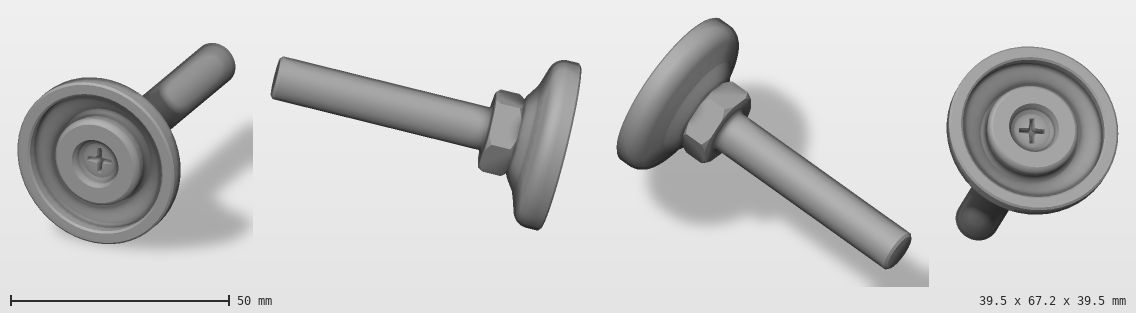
import cadquery as cq
import math


total_length = 67.2
foot_diameter = 39.45
foot_radius = foot_diameter / 2

rod_radius = 5.05
rod_end_chamfer = 0.6
rod_length = 50.0
rod_root_fillet = 1.0
hex_across_flats = 17.0
hex_height = 6.45
hex_corner_chamfer = 1.0
hex_sides = 6
hex_half_side_angle = 180 / hex_sides
hex_corner_radius = hex_across_flats / 2 / math.cos(math.radians(hex_half_side_angle))
hex_top = total_length - rod_length
foot_top = hex_top - hex_height

foot_edge_chamfer = 0.5
rim_height = 3.1
shoulder_radius = 17.2
shoulder_height = 6.5
waist_radius = 12.6
waist_height = 8.1
foot_top_radius = 8.3
dome_bulge = 0.2
waist_sag = 0.1

mouth_radius = 17.0
mouth_chamfer = 0.5
hollow_radius = mouth_radius - mouth_chamfer
hollow_wall_height = 3.5
hollow_fillet_end_radius = 15.8
hollow_fillet_end_height = 4.2
hollow_fillet_bulge = 0.15
boss_radius = 10.55
boss_face_radius = 9.55
boss_edge_height = 1.7
boss_edge_bulge = 0.3
boss_neck_radius = 10.2
boss_neck_height = 4.5
boss_flare_radius = 11.3
boss_flare_height = 5.9
boss_flare_sag = 0.35

recess_mouth_radius = 5.85
recess_wall_end_radius = 5.05
recess_wall_depth = 2.0
recess_floor_depth = 2.4

screw_radius = 4.2
cross_arm_length = 3.0
cross_root_half_width = 0.7
cross_tip_half_width = 0.55
cross_corner_fillet = 0.35
cross_arm_count = 4
cross_depth = 1.55
cross_wall_taper = 18.0


def bulged_midpoint(start, end, bulge):
    """Middle of an arc from start to end that bows by bulge to the left of its chord."""
    dx = end[0] - start[0]
    dy = end[1] - start[1]
    chord = math.hypot(dx, dy)
    return (
        (start[0] + end[0]) / 2 - bulge * dy / chord,
        (start[1] + end[1]) / 2 + bulge * dx / chord,
    )


def revolve_about_y(profile):
    """Close a profile drawn as (radius, height) and turn it fully about the Y axis."""
    return profile.close().revolve(360, (0, 0, 0), (0, 1, 0))


def cross_section_plane(y):
    """Plane square to the Y axis, facing +Y."""
    return cq.Workplane(cq.Plane(origin=(0, y, 0), xDir=(1, 0, 0), normal=(0, 1, 0)))


def make_foot():
    """Revolved foot: domed outside, hollow below, with a central boss flush with the rim."""
    shoulder = (shoulder_radius, shoulder_height)
    waist = (waist_radius, waist_height)
    top_edge = (foot_top_radius, foot_top)
    rim_top = (foot_radius, rim_height)
    shoulder_drop = shoulder_height - rim_height
    shoulder_width = foot_radius - shoulder_radius
    shoulder_arc_radius = (shoulder_width**2 + shoulder_drop**2) / (2 * shoulder_width)
    half_sweep = math.asin(shoulder_drop / shoulder_arc_radius) / 2
    shoulder_middle = (
        foot_radius - shoulder_arc_radius * (1 - math.cos(half_sweep)),
        rim_height + shoulder_arc_radius * math.sin(half_sweep),
    )
    hollow_wall_top = (hollow_radius, hollow_wall_height)
    hollow_fillet_end = (hollow_fillet_end_radius, hollow_fillet_end_height)
    flare_top = (boss_flare_radius, boss_flare_height)
    boss_neck = (boss_neck_radius, boss_neck_height)
    boss_edge = (boss_radius, boss_edge_height)
    boss_face_edge = (boss_face_radius, 0)
    profile = (
        cq.Workplane("XY")
        .moveTo(mouth_radius, 0)
        .lineTo(foot_radius - foot_edge_chamfer, 0)
        .lineTo(foot_radius, foot_edge_chamfer)
        .lineTo(*rim_top)
        .threePointArc(shoulder_middle, shoulder)
        .threePointArc(bulged_midpoint(shoulder, waist, waist_sag), waist)
        .threePointArc(bulged_midpoint(waist, top_edge, -dome_bulge), top_edge)
        .lineTo(screw_radius, foot_top)
        .lineTo(screw_radius, recess_floor_depth)
        .lineTo(recess_wall_end_radius, recess_wall_depth)
        .lineTo(recess_mouth_radius, 0)
        .lineTo(*boss_face_edge)
        .threePointArc(bulged_midpoint(boss_face_edge, boss_edge, -boss_edge_bulge), boss_edge)
        .lineTo(*boss_neck)
        .threePointArc(bulged_midpoint(boss_neck, flare_top, boss_flare_sag), flare_top)
        .lineTo(*hollow_fillet_end)
        .threePointArc(
            bulged_midpoint(hollow_fillet_end, hollow_wall_top, hollow_fillet_bulge),
            hollow_wall_top,
        )
        .lineTo(hollow_radius, mouth_chamfer)
    )
    return revolve_about_y(profile)


def make_hex_head():
    """Hexagon with flats facing +X and -X, its corners chamfered at both ends."""
    prism = (
        cross_section_plane(foot_top)
        .transformed(rotate=(0, 0, hex_half_side_angle))
        .polygon(hex_sides, 2 * hex_corner_radius)
        .extrude(hex_height)
    )
    corner_envelope = (
        cross_section_plane(foot_top)
        .circle(hex_corner_radius)
        .extrude(hex_height)
        .edges()
        .chamfer(hex_corner_chamfer)
    )
    return prism.intersect(corner_envelope)


def make_stud():
    """Hexagon head and round rod in one piece, with a concave fillet at the rod's root."""
    fillet_inset = rod_root_fillet * (1 - math.sqrt(0.5))
    rod_profile = (
        cq.Workplane("XY")
        .moveTo(0, hex_top)
        .lineTo(rod_radius + rod_root_fillet, hex_top)
        .threePointArc(
            (rod_radius + fillet_inset, hex_top + fillet_inset),
            (rod_radius, hex_top + rod_root_fillet),
        )
        .lineTo(rod_radius, total_length - rod_end_chamfer)
        .lineTo(rod_radius - rod_end_chamfer, total_length)
        .lineTo(0, total_length)
    )
    return make_hex_head().union(revolve_about_y(rod_profile))


def make_cross_recess():
    """Four-armed driver recess that narrows with depth, its inner corners rounded."""
    fillet_end = cross_root_half_width + cross_corner_fillet
    fillet_middle = fillet_end - cross_corner_fillet * math.sqrt(0.5)

    def turned(x, y, quarter_turns):
        """Point carried clockwise by quarter turns to the matching place on another arm."""
        for _ in range(quarter_turns):
            x, y = y, -x
        return (x, y)

    outline = cross_section_plane(recess_floor_depth).moveTo(fillet_end, cross_root_half_width)
    for turns in range(cross_arm_count):
        outline = (
            outline.lineTo(*turned(cross_arm_length, cross_tip_half_width, turns))
            .lineTo(*turned(cross_arm_length, -cross_tip_half_width, turns))
            .lineTo(*turned(fillet_end, -cross_root_half_width, turns))
            .threePointArc(
                turned(fillet_middle, -fillet_middle, turns),
                turned(cross_root_half_width, -fillet_end, turns),
            )
        )
    return outline.close().extrude(cross_depth, taper=cross_wall_taper)


def make_screw():
    """Plain round screw that fills the foot's bore, with the driver recess in its lower end."""
    shank = (
        cross_section_plane(recess_floor_depth)
        .circle(screw_radius)
        .extrude(foot_top - recess_floor_depth)
    )
    return shank.cut(make_cross_recess())


foot = make_foot()
stud = make_stud()
screw = make_screw()

result = cq.Compound.makeCompound([foot.val(), stud.val(), screw.val()])